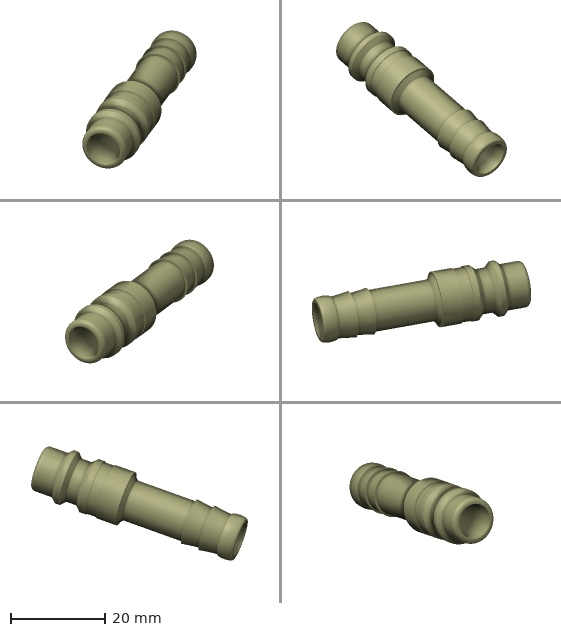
import cadquery as cq

length = 46.0
bore_radius = 3.75
tube_radius = 4.5
plug_radius = 5.0
neck_radius = 4.88
body_diameter = 12.0
body_radius = body_diameter / 2
groove_radius = 5.8

plug_rounding = 1.0
ridge_start = 6.0
ridge_end = 7.0
collar_start = 11.6
collar_end = 13.0
body_start = 15.5
body_end = 20.0
shoulder_height = 1.0

barb_radius = 5.0
barb_length = 4.0
barb_bow = 0.05
bead_length = 3.5
bead_radius = 5.0
bead_base = length - bead_length
barb_starts = [bead_base - 2 * barb_length, bead_base - barb_length]


def plug_profile():
    """Half outline of the plug, ridge, neck, collar, body, shoulder and plain tube."""
    ridge_taper = body_radius - plug_radius
    neck_taper = body_radius - neck_radius
    return (
        cq.Workplane("XY")
        .moveTo(bore_radius, 0)
        .lineTo(plug_radius - plug_rounding, 0)
        .radiusArc((plug_radius, plug_rounding), -plug_rounding)
        .lineTo(plug_radius, ridge_start - ridge_taper)
        .lineTo(body_radius, ridge_start)
        .lineTo(body_radius, ridge_end)
        .lineTo(neck_radius, ridge_end + neck_taper)
        .lineTo(neck_radius, collar_start - neck_taper)
        .lineTo(body_radius, collar_start)
        .lineTo(body_radius, collar_end)
        .lineTo(groove_radius, collar_end)
        .lineTo(groove_radius, body_start)
        .lineTo(body_radius, body_start)
        .lineTo(body_radius, body_end)
        .lineTo(tube_radius + shoulder_height, body_end)
        .lineTo(tube_radius, body_end + shoulder_height)
        .lineTo(tube_radius, barb_starts[0])
    )


def add_barb(profile, start):
    """Step out to the barb edge, then sweep in a hollow curve back to the tube."""
    middle_radius = (tube_radius + barb_radius) / 2 - barb_bow
    return (
        profile.lineTo(barb_radius, start)
        .threePointArc(
            (middle_radius, start + barb_length / 2),
            (tube_radius, start + barb_length),
        )
    )


def add_bead(profile):
    """Bulge out in half an ellipse from the tube surface to the flat hose end."""
    return (
        profile.ellipseArc(bead_radius - tube_radius, bead_length / 2, -90, 90, startAtCurrent=True)
        .lineTo(bore_radius, length)
    )


outline = plug_profile()
for barb_start in barb_starts:
    outline = add_barb(outline, barb_start)
outline = add_bead(outline)

centred = outline.close().revolve(360, (0, 0, 0), (0, 1, 0))
result = centred.translate((0, -length / 2, 0))